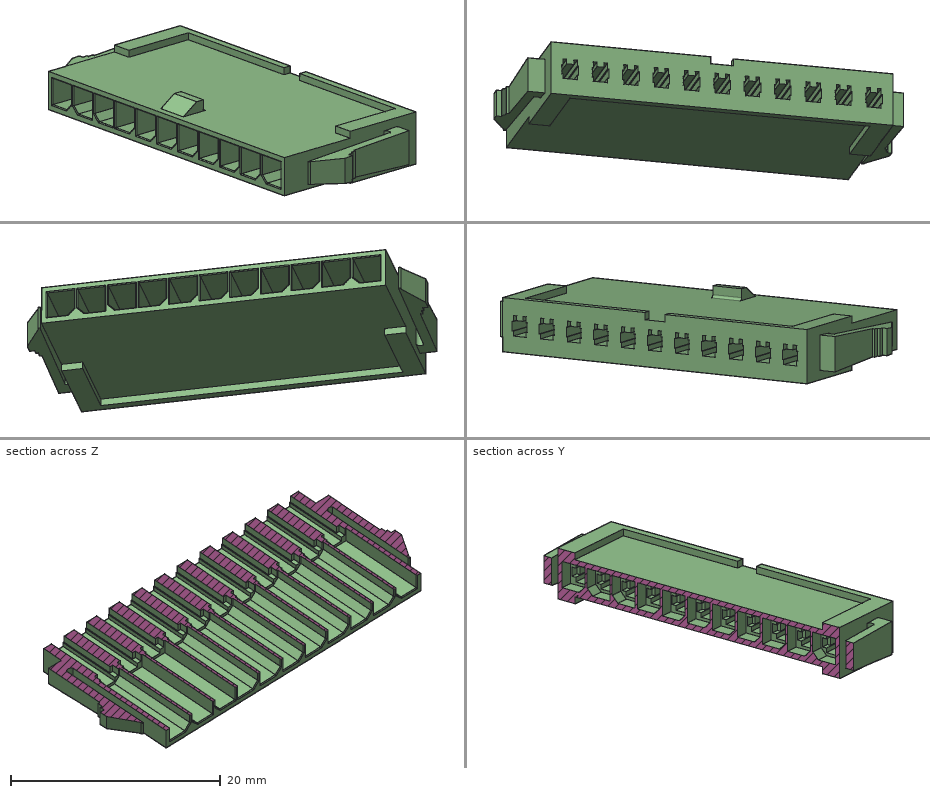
import cadquery as cq
overall_width = 39.05
body_width = 33.75
body_depth = 16.9
rim_height = 0.7
body_bottom = rim_height
body_height = 3.85
body_top = body_bottom + body_height
collar_height = body_height + 2 * rim_height

rim_length = body_depth / 2
rim_side_width = 2.07
rim_back_width = 0.82
rim_gap_width = 2.23

ramp_width = 3.2
ramp_top = 5.7
ramp_front = 0.75
ramp_crest = 2.45
ramp_back = 3.3
ramp_root_radius = 0.27

cavity_count = 11
cavity_pitch = 30.0 / (cavity_count - 1)
left_keyed_cavities = (1, 2, 10)
cavity_depth = 9.75
cavity_half_width = 1.33
cavity_bottom = 1.33
cavity_top = 4.0
mouth_bevel = 0.098
key_size = 0.65

passage_width = 1.4
passage_bottom = 1.65
passage_top = 3.65
band_bottom = 2.1
band_top = 3.05
band_width = 1.65
pocket_width = 2.35
pocket_depth = 0.8
lance_width = 0.7
lance_bottom = 3.15
lance_step = 3.4
lance_setback = 0.4

clip_reach = (overall_width - body_width) / 2
clip_back = 14.5
clip_tip = 2.35
clip_outer = 1.68
clip_inner = 0.7
clip_mid_height = 2.65
clip_root_overlap = 0.4
barb_steps = ((1.9, 7.4), (2.15, 6.87), (clip_reach, 6.35))
barb_front = 5.43
clip_nose = 2.55
clip_nose_outer = 0.9
clip_tip_offset = 0.82
slot_end = 13.1
slot_end_offset = 0.4
slot_end_outer = 12.95
slot_end_inner = 12.8
clip_root_half_height = 1.7
clip_tip_half_height = 1.15


def box(x_min, x_max, y_min, y_max, z_min, z_max):
    """Box given by its limits along each axis."""
    return cq.Workplane("XY").box(
        x_max - x_min, y_max - y_min, z_max - z_min, centered=False
    ).translate((x_min, y_min, z_min))


def centred_box(x, width, y_min, y_max, z_min, z_max):
    """Box centred on x."""
    return box(x - width / 2, x + width / 2, y_min, y_max, z_min, z_max)


def make_body():
    """Plain block with a U-shaped rim above and below its rear half."""
    rim_front = body_depth - rim_length
    rim_inner_back = body_depth - rim_back_width
    body = centred_box(0, body_width, rim_front, body_depth, 0, collar_height)
    inside_width = body_width - 2 * rim_side_width
    for z_min, z_max in ((0, body_bottom), (body_top, collar_height)):
        body = body.cut(centred_box(0, inside_width, rim_front, rim_inner_back, z_min, z_max))
    body = body.union(centred_box(0, body_width, 0, body_depth, body_bottom, body_top))
    rim_gap = centred_box(0, rim_gap_width, rim_inner_back, body_depth, body_top, collar_height)
    return body.cut(rim_gap)


def make_ramp():
    """Latch ramp with a concave fillet where its back meets the top face."""
    r = ramp_root_radius
    fillet_offset = r * (1 - 0.5 ** 0.5)
    root_z = body_top - rim_height / 2
    return (
        cq.Workplane("YZ")
        .workplane(offset=-ramp_width / 2)
        .moveTo(ramp_front, root_z)
        .lineTo(ramp_front, body_top)
        .lineTo(ramp_crest, ramp_top)
        .lineTo(ramp_back, ramp_top)
        .lineTo(ramp_back, body_top + r)
        .threePointArc(
            (ramp_back + fillet_offset, body_top + fillet_offset),
            (ramp_back + r, body_top),
        )
        .lineTo(ramp_back + r, root_z)
        .close()
        .extrude(ramp_width)
    )


def make_right_clip():
    """Barbed spring clip, stepped in plan and narrowing in height towards its tip."""
    side = body_width / 2
    root = side - clip_root_overlap
    plan = cq.Workplane("XY").moveTo(root, clip_back)
    outer_x = side + clip_outer
    plan = plan.lineTo(outer_x, clip_back)
    for step_offset, step_y in barb_steps:
        plan = plan.lineTo(outer_x, step_y)
        outer_x = side + step_offset
        plan = plan.lineTo(outer_x, step_y)
    plan = (
        plan
        .lineTo(outer_x, barb_front)
        .lineTo(side + clip_nose_outer, clip_nose)
        .threePointArc((side + clip_tip_offset, clip_tip), (side + clip_inner, clip_nose))
        .lineTo(side + clip_inner, slot_end_outer)
        .threePointArc((side + slot_end_offset, slot_end), (side, slot_end_inner))
        .lineTo(root, slot_end_inner)
        .close()
        .extrude(collar_height)
    )
    taper = (
        cq.Workplane("YZ")
        .polyline([
            (clip_back, clip_mid_height - clip_root_half_height),
            (clip_back, clip_mid_height + clip_root_half_height),
            (clip_tip, clip_mid_height + clip_tip_half_height),
            (clip_tip, clip_mid_height - clip_tip_half_height),
        ])
        .close()
        .extrude(overall_width)
    )
    return plan.intersect(taper)


def make_cavity(x, key_side):
    """Bevelled cavity keyed at its right (+1) or left (-1), with a stepped passage behind it."""
    wall_x = key_side * cavity_half_width
    key_x = key_side * (cavity_half_width - key_size)
    outline = [
        (-wall_x, cavity_bottom),
        (key_x, cavity_bottom),
        (wall_x, cavity_bottom + key_size),
        (wall_x, cavity_top),
        (-wall_x, cavity_top),
    ]
    throat_plane = cq.Workplane("XZ", origin=(x, mouth_bevel, 0))
    mouth = throat_plane.polyline(outline).close().extrude(mouth_bevel, taper=-45)
    well = throat_plane.polyline(outline).close().extrude(mouth_bevel - cavity_depth)
    well = well.union(mouth)
    start = cavity_depth
    passage = centred_box(x, passage_width, start, body_depth, passage_bottom, passage_top)
    lance = centred_box(x, lance_width, start, body_depth, lance_bottom, passage_top)
    setback = centred_box(x, lance_width, start, start + lance_setback, lance_bottom, lance_step)
    band = centred_box(x, band_width, start, body_depth, band_bottom, band_top)
    pockets = centred_box(x, pocket_width, start, start + pocket_depth, band_bottom, band_top)
    return well.union(passage.cut(lance)).union(setback).union(band).union(pockets)


result = make_body().union(make_ramp())

right_clip = make_right_clip()
result = result.union(right_clip).union(right_clip.mirror("YZ"))

for index in range(cavity_count):
    cavity_x = (index - (cavity_count - 1) / 2) * cavity_pitch
    side_of_key = -1 if index in left_keyed_cavities else 1
    result = result.cut(make_cavity(cavity_x, side_of_key))